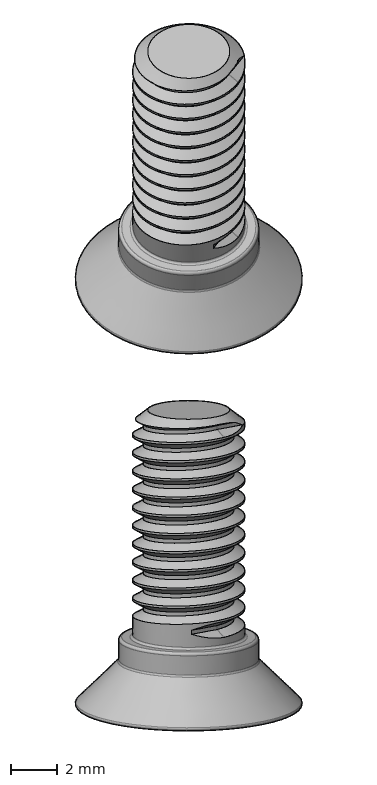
import cadquery as cq
import math

total_height = 13.0
head_sharp_radius = 4.99
rim_fillet = 0.09
collar_radius = 3.0
collar_top = 3.02
collar_fillet = 0.13
shank_base_fillet = 0.1
select_margin = 0.01
cone_top = head_sharp_radius - collar_radius

shank_radius = 2.4
tip_radius = 1.75
tip_bevel_height = 0.52
thread_depth = 0.45
thread_start = 3.78
thread_turns = 11
thread_length = 8.8
thread_pitch = thread_length / thread_turns
crest_flat = thread_pitch / 8
flank_slope = math.tan(math.radians(30))
cutter_overlap = 0.05
runout_length = 1.95
seam_angle = 200.0


def round_corners(blank):
    """Fillet the head rim, both collar edges and the foot of the shank."""
    corners = [
        (head_sharp_radius, 0, rim_fillet),
        (collar_radius, cone_top, collar_fillet),
        (collar_radius, collar_top, collar_fillet),
        (shank_radius, collar_top, shank_base_fillet),
    ]
    for radius, height, fillet in corners:
        reach = radius + select_margin
        around_corner = cq.selectors.BoxSelector(
            (-reach, -reach, height - select_margin),
            (reach, reach, height + select_margin),
            boundingbox=True,
        )
        smallest = radius - select_margin
        circles = blank.edges("%CIRCLE").edges(around_corner)
        blank = circles.filter(lambda edge: edge.radius() > smallest).fillet(fillet)
    return blank


def make_blank():
    """Revolve the unthreaded screw about Z."""
    outline = [
        (0, 0),
        (head_sharp_radius, 0),
        (collar_radius, cone_top),
        (collar_radius, collar_top),
        (shank_radius, collar_top),
        (shank_radius, total_height - tip_bevel_height),
        (tip_radius, total_height),
        (0, total_height),
    ]
    blank = cq.Workplane("XZ").polyline(outline).close().revolve(360, (0, 0), (0, 1))
    return round_corners(blank).rotate((0, 0, 0), (0, 0, 1), seam_angle)


def groove_profile(center_height):
    """Draw the 60 degree thread groove section on the +X side."""
    root_radius = shank_radius - thread_depth
    outer_radius = shank_radius + cutter_overlap
    outer_half = (thread_pitch - crest_flat) / 2 + cutter_overlap * flank_slope
    root_half = outer_half - (thread_depth + cutter_overlap) * flank_slope
    points = [
        (root_radius, center_height - root_half),
        (outer_radius, center_height - outer_half),
        (outer_radius, center_height + outer_half),
        (root_radius, center_height + root_half),
    ]
    return cq.Workplane("XZ").polyline(points).close()


def make_thread_groove():
    """Sweep the right-hand helical groove."""
    helix = cq.Wire.makeHelix(thread_pitch, thread_length, shank_radius, cq.Vector(0, 0, thread_start))
    return groove_profile(thread_start).sweep(cq.Workplane(obj=helix), isFrenet=True)


def make_thread_runout(height, length):
    """Carry an end of the groove straight out along Y, where it leaves the shank."""
    return groove_profile(height).extrude(-length)


thread_end = thread_start + thread_length
result = (
    make_blank()
    .cut(make_thread_groove())
    .cut(make_thread_runout(thread_start, -runout_length))
    .cut(make_thread_runout(thread_end, runout_length))
)